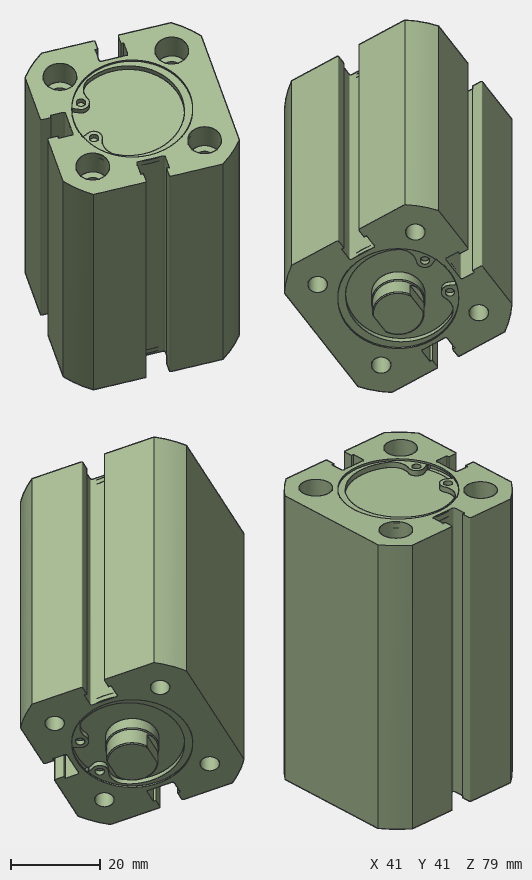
import cadquery as cq
import math


WIDTH = 41.0
OVERALL_LENGTH = 79.0
ROD_PROJECTION = 6.0
HOUSING_LENGTH = OVERALL_LENGTH - ROD_PROJECTION
CORNER_RADIUS = 25.4
BORE_RADIUS = 13.5

BOLT_SPACING = 26.0
BOLT_HOLE_DIAMETER = 4.35
COUNTERBORE_DIAMETER = 7.5
COUNTERBORE_DEPTH = 7.0

SLOT_MOUTH_WIDTH = 5.4
SLOT_MOUTH_DEPTH = 2.45
SLOT_MOUTH_FILLET = 0.3
SLOT_WIDTH = 6.6
SLOT_FLOOR_FILLET = 0.4
SIDE_SLOT_DEPTH = 5.9
FRONT_SLOT_DEPTH = 5.85

RING_SETBACK = 0.5
RING_THICKNESS = 1.35
RING_OUTER_RADIUS = 14.45
RING_INNER_RADIUS = 12.5
RING_INNER_OFFSET = 0.9
LUG_DISTANCE = 11.6
LUG_ANGLE = 26.2
LUG_RADIUS = 1.9
LUG_HOLE_RADIUS = 1.0
LUG_ROOT_FILLET = 3.95

COVER_THICKNESS = 7.9
COVER_SETBACK = RING_SETBACK + RING_THICKNESS

PISTON_THICKNESS = 7.9
ROD_RADIUS = 6.0
ROD_SHOULDER_LENGTH = 1.2
ROD_TIP_RADIUS = 5.8
ROD_TIP_CHAMFER = 0.2
ROD_ACROSS_FLATS = 9.95


def slot_cutter(depth):
    """T-slot in the -Y face, along the whole housing."""
    face_y = -WIDTH / 2
    mouth = cq.Workplane("XY").box(
        SLOT_MOUTH_WIDTH, depth, HOUSING_LENGTH, centered=(True, False, False)
    )
    chamber = (
        cq.Workplane("XY")
        .box(SLOT_WIDTH, depth - SLOT_MOUTH_DEPTH, HOUSING_LENGTH, centered=(True, False, False))
        .edges("|Z and >Y")
        .fillet(SLOT_FLOOR_FILLET)
        .translate((0, SLOT_MOUTH_DEPTH, 0))
    )
    return mouth.union(chamber).translate((0, face_y, 0))


def slot_mouth_edges(housing):
    """Edges where the three slots open onto the -Y, -X and +X faces."""
    half_width = WIDTH / 2
    half_mouth = SLOT_MOUTH_WIDTH / 2
    mouths = []
    for side in (-1, 1):
        mouths.append((side * half_mouth, -half_width))
        mouths.append((-half_width, side * half_mouth))
        mouths.append((half_width, side * half_mouth))
    edges = []
    for x, y in mouths:
        middle = (x, y, HOUSING_LENGTH / 2)
        edges += housing.edges("|Z").edges(cq.selectors.NearestToPointSelector(middle)).vals()
    return edges


def make_housing():
    housing = cq.Workplane("XY").rect(WIDTH, WIDTH).extrude(HOUSING_LENGTH)
    corners = cq.Workplane("XY").circle(CORNER_RADIUS).extrude(HOUSING_LENGTH)
    housing = housing.intersect(corners)

    housing = housing.cut(slot_cutter(FRONT_SLOT_DEPTH))
    for angle in (-90, 90):
        side_slot = slot_cutter(SIDE_SLOT_DEPTH).rotate((0, 0, 0), (0, 0, 1), angle)
        housing = housing.cut(side_slot)
    housing = housing.newObject(slot_mouth_edges(housing)).fillet(SLOT_MOUTH_FILLET)

    housing = (
        housing.faces(">Z")
        .workplane(origin=(0, 0, HOUSING_LENGTH))
        .rect(BOLT_SPACING, BOLT_SPACING, forConstruction=True)
        .vertices()
        .cboreHole(BOLT_HOLE_DIAMETER, COUNTERBORE_DIAMETER, COUNTERBORE_DEPTH)
    )

    bore = cq.Workplane("XY").circle(BORE_RADIUS).extrude(HOUSING_LENGTH)
    housing = housing.cut(bore)
    groove = cq.Workplane("XY").circle(RING_OUTER_RADIUS).extrude(RING_THICKNESS)
    for groove_base in (RING_SETBACK, HOUSING_LENGTH - COVER_SETBACK):
        housing = housing.cut(groove.translate((0, 0, groove_base)))
    return housing


def make_retaining_ring(base_z):
    """Open ring with two plier lugs beside the gap on the -Y side."""
    opening = (
        cq.Workplane("XY")
        .center(0, -RING_INNER_OFFSET)
        .circle(RING_INNER_RADIUS)
        .extrude(RING_THICKNESS)
    )
    ring = cq.Workplane("XY").circle(RING_OUTER_RADIUS).extrude(RING_THICKNESS).cut(opening)

    lug = (
        cq.Workplane("XY")
        .center(0, -LUG_DISTANCE)
        .circle(LUG_RADIUS)
        .extrude(RING_THICKNESS)
    )
    lug_base = cq.Workplane("XY").box(
        2 * LUG_RADIUS, BORE_RADIUS - LUG_DISTANCE, RING_THICKNESS, centered=(True, False, False)
    )
    lug = lug.union(lug_base.translate((0, -BORE_RADIUS, 0)))
    for angle in (-LUG_ANGLE, LUG_ANGLE):
        ring = ring.union(lug.rotate((0, 0, 0), (0, 0, 1), angle))

    half_gap = math.radians(LUG_ANGLE) - math.asin(LUG_RADIUS / LUG_DISTANCE)
    gap_reach = RING_OUTER_RADIUS + LUG_RADIUS
    gap_half_width = gap_reach * math.tan(half_gap)
    gap = (
        cq.Workplane("XY")
        .polyline([(0, 0), (-gap_half_width, -gap_reach), (gap_half_width, -gap_reach)])
        .close()
        .extrude(RING_THICKNESS)
    )
    ring = ring.cut(gap)

    lug_x = LUG_DISTANCE * math.sin(math.radians(LUG_ANGLE))
    lug_y = -LUG_DISTANCE * math.cos(math.radians(LUG_ANGLE))
    for side in (-1, 1):
        root = (side * (lug_x + LUG_RADIUS), lug_y, RING_THICKNESS / 2)
        root_edge = cq.selectors.NearestToPointSelector(root)
        ring = ring.edges("|Z").edges(root_edge).fillet(LUG_ROOT_FILLET)

    holes = (
        cq.Workplane("XY")
        .pushPoints([(-lug_x, lug_y), (lug_x, lug_y)])
        .circle(LUG_HOLE_RADIUS)
        .extrude(RING_THICKNESS)
    )
    return ring.cut(holes).translate((0, 0, base_z))


def make_head_cover():
    base_z = HOUSING_LENGTH - COVER_SETBACK - COVER_THICKNESS
    return cq.Workplane("XY", origin=(0, 0, base_z)).circle(BORE_RADIUS).extrude(COVER_THICKNESS)


def make_rod_cover():
    return (
        cq.Workplane("XY", origin=(0, 0, COVER_SETBACK))
        .circle(BORE_RADIUS)
        .circle(ROD_RADIUS)
        .extrude(COVER_THICKNESS)
    )


def make_piston_rod():
    """Piston resting on the head cover, with its rod and flatted rod tip."""
    piston_top = HOUSING_LENGTH - COVER_SETBACK - COVER_THICKNESS
    piston_base = piston_top - PISTON_THICKNESS
    step = ROD_RADIUS - ROD_TIP_RADIUS
    profile = [
        (0, piston_top),
        (-BORE_RADIUS, piston_top),
        (-BORE_RADIUS, piston_base),
        (-ROD_RADIUS, piston_base),
        (-ROD_RADIUS, -ROD_SHOULDER_LENGTH),
        (-ROD_TIP_RADIUS, -ROD_SHOULDER_LENGTH - step),
        (-ROD_TIP_RADIUS, ROD_TIP_CHAMFER - ROD_PROJECTION),
        (ROD_TIP_CHAMFER - ROD_TIP_RADIUS, -ROD_PROJECTION),
        (0, -ROD_PROJECTION),
    ]
    rod = cq.Workplane("YZ").polyline(profile).close().revolve(360, (0, 0, 0), (0, 1, 0))

    flat_y = ROD_ACROSS_FLATS / 2
    flat_top = -ROD_SHOULDER_LENGTH - (ROD_RADIUS - flat_y)
    flat_cutter = (
        cq.Workplane("YZ")
        .polyline([
            (-flat_y, -ROD_PROJECTION),
            (-flat_y, flat_top),
            (-ROD_RADIUS, -ROD_SHOULDER_LENGTH),
            (-ROD_RADIUS, -ROD_PROJECTION),
        ])
        .close()
        .extrude(ROD_RADIUS, both=True)
    )
    return rod.cut(flat_cutter).cut(flat_cutter.mirror("XZ"))


housing = make_housing()
retaining_rings = [
    make_retaining_ring(base_z) for base_z in (RING_SETBACK, HOUSING_LENGTH - COVER_SETBACK)
]
head_cover = make_head_cover()
rod_cover = make_rod_cover()
piston_rod = make_piston_rod()

result = cq.Compound.makeCompound([
    housing.val(),
    *[ring.val() for ring in retaining_rings],
    head_cover.val(),
    rod_cover.val(),
    piston_rod.val(),
])